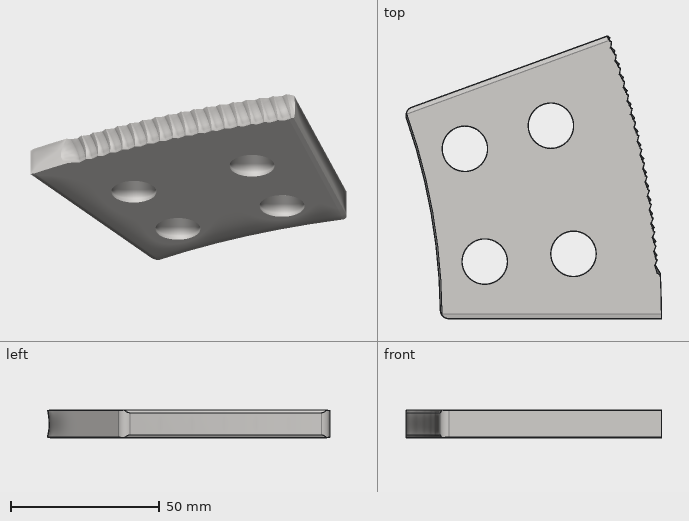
import cadquery as cq
import math

FULL_TURN = 360.0

OUTER_RADIUS = 280.0
INNER_RADIUS = 205.48
SECTOR_ANGLE = 20.0
THICKNESS = 9.49
CORNER_RADIUS = 3.0

SIDE_BEVEL_WIDTH = 1.6
SIDE_BEVEL_DEPTH = 0.3

INNER_BEVEL_WIDTH = 0.6
INNER_BEVEL_DEPTH = 1.0

HOLE_DIAMETER = 15.2
BOLT_RADII = (221.3, 251.3)
BOLT_ANGLES = (SECTOR_ANGLE / 4, SECTOR_ANGLE * 3 / 4)

RING_TOOTH_COUNT = 373
TOOTH_PITCH_ANGLE = FULL_TURN / RING_TOOTH_COUNT
FIRST_GROOVE_ANGLE = 3.75
GROOVE_COUNT = math.ceil((SECTOR_ANGLE - FIRST_GROOVE_ANGLE) / TOOTH_PITCH_ANGLE) + 1
LEAD_ANGLE = 18.0
ROOT_RADIUS = 276.85
WORM_RADIUS = 8.0
GROOVE_ROOT_WIDTH = 2.4
FLANK_ANGLE = 58.0
CUTTER_DEPTH = 5.0

HALF_THICKNESS = THICKNESS / 2
OVERCUT = 5.0


def polar(radius, angle):
    """Point in the XY plane at a radius and an angle in degrees."""
    return (radius * math.cos(math.radians(angle)), radius * math.sin(math.radians(angle)))


def sector_plate():
    """Ring sector with rounded corners at the inner side."""
    plate = (
        cq.Workplane("XY")
        .workplane(offset=-HALF_THICKNESS)
        .moveTo(*polar(INNER_RADIUS, 0))
        .lineTo(*polar(OUTER_RADIUS, 0))
        .threePointArc(polar(OUTER_RADIUS, SECTOR_ANGLE / 2), polar(OUTER_RADIUS, SECTOR_ANGLE))
        .lineTo(*polar(INNER_RADIUS, SECTOR_ANGLE))
        .threePointArc(polar(INNER_RADIUS, SECTOR_ANGLE / 2), polar(INNER_RADIUS, 0))
        .close()
        .extrude(THICKNESS)
    )
    inner_corners = cq.selectors.BoxSelector(
        (0, -OVERCUT, -THICKNESS),
        (INNER_RADIUS + OVERCUT, OUTER_RADIUS * math.sin(math.radians(SECTOR_ANGLE)), THICKNESS),
    )
    return plate.edges("|Z").edges(inner_corners).fillet(CORNER_RADIUS)


def side_bevel_cutter():
    """Wedge along the straight side that lies on the X axis, at the upper face."""
    return (
        cq.Workplane("YZ")
        .workplane(offset=INNER_RADIUS - OVERCUT)
        .polyline([
            (0, HALF_THICKNESS - SIDE_BEVEL_DEPTH),
            (SIDE_BEVEL_WIDTH, HALF_THICKNESS),
            (0, HALF_THICKNESS),
        ])
        .close()
        .extrude(OUTER_RADIUS - INNER_RADIUS + 2 * OVERCUT)
    )


def inner_bevel_cutter():
    """Ring with a conical face along the inner side, at the upper face."""
    return (
        cq.Workplane("XZ")
        .polyline([
            (INNER_RADIUS - OVERCUT, HALF_THICKNESS - INNER_BEVEL_DEPTH),
            (INNER_RADIUS, HALF_THICKNESS - INNER_BEVEL_DEPTH),
            (INNER_RADIUS + INNER_BEVEL_WIDTH, HALF_THICKNESS),
            (INNER_RADIUS - OVERCUT, HALF_THICKNESS),
        ])
        .close()
        .revolve(FULL_TURN, (0, 0, 0), (0, 1, 0))
    )


def bevel_both_faces(plate):
    """Bevel the straight sides and the inner side on both faces."""
    lower_side = side_bevel_cutter()
    upper_side = lower_side.mirror("XZ").rotate((0, 0, 0), (0, 0, 1), SECTOR_ANGLE)
    for cutter in (lower_side, upper_side, inner_bevel_cutter()):
        plate = plate.cut(cutter).cut(cutter.mirror("XY"))
    return plate


def drill_holes(plate):
    """Drill the four through holes."""
    centres = [polar(radius, angle) for radius in BOLT_RADII for angle in BOLT_ANGLES]
    holes = (
        cq.Workplane("XY")
        .workplane(offset=-THICKNESS)
        .pushPoints(centres)
        .circle(HOLE_DIAMETER / 2)
        .extrude(2 * THICKNESS)
    )
    return plate.cut(holes)


def tooth_groove_cutter():
    """Disc with a tapered rim, tilted by the lead angle, that forms one throated groove on the X axis."""
    axis_x = ROOT_RADIUS + WORM_RADIUS
    half_root = GROOVE_ROOT_WIDTH / 2
    half_base = half_root + CUTTER_DEPTH * math.tan(math.radians(FLANK_ANGLE))
    base_x = ROOT_RADIUS + CUTTER_DEPTH
    return (
        cq.Workplane("XY")
        .polyline([
            (axis_x, -half_base),
            (base_x, -half_base),
            (ROOT_RADIUS, -half_root),
            (ROOT_RADIUS, half_root),
            (base_x, half_base),
            (axis_x, half_base),
        ])
        .close()
        .revolve(FULL_TURN, (axis_x, 0, 0), (axis_x, 1, 0))
        .rotate((0, 0, 0), (1, 0, 0), LEAD_ANGLE)
    )


def cut_teeth(plate):
    """Cut the row of grooves that leaves the worm-wheel teeth."""
    groove = tooth_groove_cutter()
    for index in range(GROOVE_COUNT):
        angle = FIRST_GROOVE_ANGLE + index * TOOTH_PITCH_ANGLE
        plate = plate.cut(groove.rotate((0, 0, 0), (0, 0, 1), angle))
    return plate


result = cut_teeth(drill_holes(bevel_both_faces(sector_plate())))